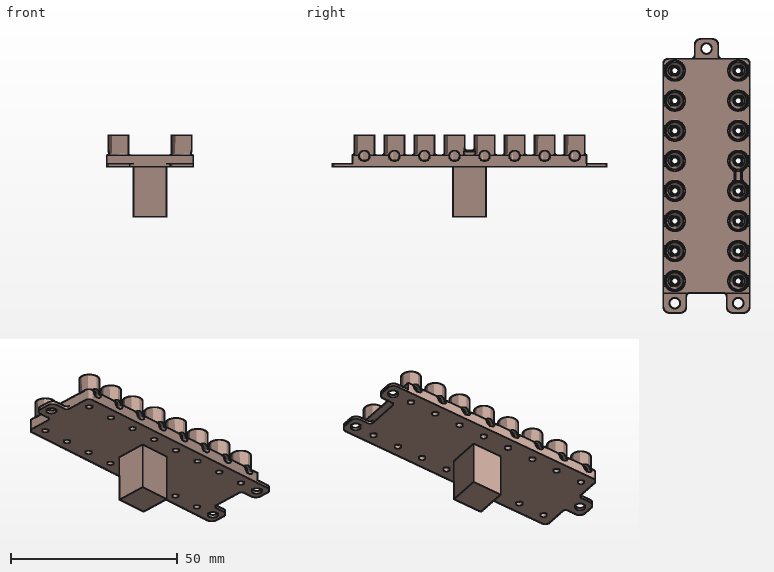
import cadquery as cq
import math

plate_width = 26.0
plate_length = 70.2
plate_thickness = 3.5
plate_corner_radius = 1.5
overall_length = 82.2

tab_length = (overall_length - plate_length) / 2
tab_thickness = 1.0
front_tab_width = 7.0
rear_tab_width = 7.15
tab_corner_radius = 2.0
tab_root_radius = 1.0
tab_hole_diameter = 3.1
tab_hole_offset = 3.0

sockets_per_column = 8
column_spacing = 19.0
column_length = 63.0
socket_pitch = column_length / (sockets_per_column - 1)
socket_height = 6.0
socket_diameter = 6.2
socket_radius = socket_diameter / 2
base_fillet = 0.5

bore_top_diameter = 5.2
bore_bottom_diameter = 2.95
drain_diameter = 2.0
port_diameter = 3.1
port_drop = 0.25
seat_rise = 0.25
port_z = plate_thickness - port_drop
seat_top = port_z - port_diameter / 2 + seat_rise
seat_depth = (bore_bottom_diameter - drain_diameter) / 2

bridge_width = 2.5
bridge_height = 1.5
bridge_chamfer = 0.5

post_side = 10.0
post_height = 14.95

plate_top = plate_thickness
plate_end = plate_length / 2
column_x = column_spacing / 2
socket_rows = [row * socket_pitch - column_length / 2 for row in range(sockets_per_column)]
socket_centres = [(side, side * column_x, y) for side in (-1, 1) for y in socket_rows]


def disc(diameter, height, x, y, z):
    """Upright cylinder standing on height z."""
    return cq.Workplane("XY", origin=(x, y, z)).circle(diameter / 2).extrude(height)


def block(width, length, height, x, y, z):
    """Box centred on x and y, standing on height z."""
    return cq.Workplane("XY", origin=(x, y, z)).box(width, length, height, centered=(True, True, False))


def arc_middle(corner_x, corner_z, direction):
    """Mid-point of a concave fillet whose square corner is given; direction is the outward X sense."""
    inset = base_fillet * (1 - math.sqrt(0.5))
    return (corner_x + direction * inset, corner_z + inset)


def make_plate():
    plate = block(plate_width, plate_length, plate_thickness, 0, 0, 0)
    return plate.edges("|Z and >Y").fillet(plate_corner_radius)


def make_tab(width, x, end):
    """Tab with rounded outer corners at the plate end given by end = +1 or -1."""
    y = end * (plate_end + tab_length / 2)
    outer_edges = "|Z and >Y" if end > 0 else "|Z and <Y"
    return block(width, tab_length, tab_thickness, x, y, 0).edges(outer_edges).fillet(tab_corner_radius)


def make_tab_root(x, end, direction):
    """Concave corner between the plate end and a tab side at x; direction is away from the tab."""
    y = end * plate_end
    inset = tab_root_radius * (1 - math.sqrt(0.5))
    return (
        cq.Workplane("XY")
        .moveTo(x, y)
        .lineTo(x + direction * tab_root_radius, y)
        .threePointArc(
            (x + direction * inset, y + end * inset),
            (x, y + end * tab_root_radius),
        )
        .close()
        .extrude(tab_thickness)
    )


def make_flare(x, y, z):
    """Ring that forms the concave fillet around a socket at height z, with the socket core."""
    return (
        cq.Workplane("XZ", origin=(x, y, z))
        .lineTo(socket_radius + base_fillet, 0)
        .threePointArc(arc_middle(socket_radius, 0, 1), (socket_radius, base_fillet))
        .lineTo(0, base_fillet)
        .close()
        .revolve(360, (0, 0, 0), (0, 1, 0))
    )


def make_socket(x, y):
    tube = disc(socket_diameter, socket_height, x, y, plate_top)
    footprint = block(plate_width, plate_length, socket_height, 0, 0, plate_top)
    return tube.union(make_flare(x, y, plate_top).intersect(footprint))


def make_bridge():
    """Chamfered rib with filleted foot, spanning the gap between two neighbouring sockets."""
    half = bridge_width / 2
    flat = half - bridge_chamfer
    rib = (
        cq.Workplane("XZ", origin=(column_x, socket_pitch / 2, plate_top))
        .moveTo(-half - base_fillet, 0)
        .threePointArc(arc_middle(-half, 0, -1), (-half, base_fillet))
        .lineTo(-half, bridge_height - bridge_chamfer)
        .lineTo(-flat, bridge_height)
        .lineTo(flat, bridge_height)
        .lineTo(half, bridge_height - bridge_chamfer)
        .lineTo(half, base_fillet)
        .threePointArc(arc_middle(half, 0, 1), (half + base_fillet, 0))
        .close()
        .extrude(socket_pitch)
    )
    top_strip = block(2 * flat, socket_pitch, base_fillet, column_x, 0, plate_top + bridge_height)
    for y in (-socket_pitch / 2, socket_pitch / 2):
        flare = make_flare(column_x, y, plate_top + bridge_height)
        rib = rib.union(flare.intersect(top_strip))
    return rib


def make_passages(side, x, y):
    """Tapered bore, seat and drain on the socket axis, with a port out to the plate side."""
    socket_top = plate_top + socket_height
    core = (
        cq.Workplane("XZ", origin=(x, y, 0))
        .lineTo(drain_diameter / 2, 0)
        .lineTo(drain_diameter / 2, seat_top - seat_depth)
        .lineTo(bore_bottom_diameter / 2, seat_top)
        .lineTo(bore_top_diameter / 2, socket_top)
        .lineTo(0, socket_top)
        .close()
        .revolve(360, (0, 0, 0), (0, 1, 0))
    )
    port_start = cq.Workplane("YZ", origin=(x, y, port_z))
    port = port_start.circle(port_diameter / 2).extrude(side * plate_width / 2)
    return core.union(port)


def make_manifold():
    body = make_plate()

    front_tab_x = (plate_width - front_tab_width) / 2
    for side in (-1, 1):
        inner_edge = side * (plate_width / 2 - front_tab_width)
        body = body.union(make_tab(front_tab_width, side * front_tab_x, -1))
        body = body.union(make_tab_root(inner_edge, -1, -side))
        body = body.union(make_tab_root(side * rear_tab_width / 2, 1, side))
    body = body.union(make_tab(rear_tab_width, 0, 1))

    hole_y = plate_end + tab_hole_offset
    for x, y in ((-column_x, -hole_y), (column_x, -hole_y), (0, hole_y)):
        body = body.cut(disc(tab_hole_diameter, tab_thickness, x, y, 0))

    for _, x, y in socket_centres:
        body = body.union(make_socket(x, y))
    body = body.union(make_bridge())
    for side, x, y in socket_centres:
        body = body.cut(make_passages(side, x, y))
    return body


def make_post():
    return block(post_side, post_side, post_height, 0, 0, -post_height)


manifold = make_manifold()
post = make_post()

result = cq.Compound.makeCompound([manifold.val(), post.val()])